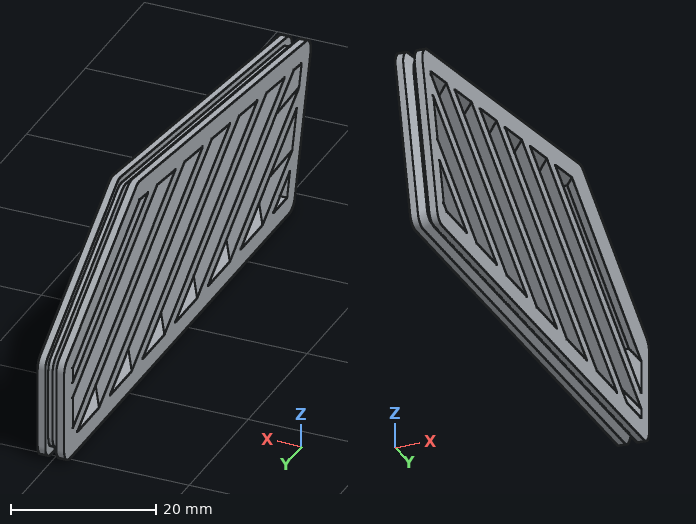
import cadquery as cq
import math

thickness = 4.0
front_flange = 1.2
back_flange = 1.2
groove_depth = 1.0
corner_radius = 2.0

bottom_length = 77.8
nose_reach = 84.2
nose_height = 24.1
apex_offset = 24.9
apex_height = 31.7
end_wall_height = 15.4
outline = [
    (0, 0),
    (0, end_wall_height),
    (-apex_offset, apex_height),
    (-nose_reach, nose_height),
    (-bottom_length, 0),
]

frame_width = 2.9
blade_pitch = 6.07
blade_width = 2.0
blade_drop = 4.1
first_blade_distance = 1.8
blade_count = 9
blades_above = 1


def inset_outline(inset):
    """Move every outline edge inward and return the new sharp corners."""
    corners = []
    for i, (y, z) in enumerate(outline):
        y_before, z_before = outline[i - 1]
        y_after, z_after = outline[(i + 1) % len(outline)]
        length_in = math.hypot(y - y_before, z - z_before)
        length_out = math.hypot(y_after - y, z_after - z)
        in_y, in_z = (y - y_before) / length_in, (z - z_before) / length_in
        out_y, out_z = (y_after - y) / length_out, (z_after - z) / length_out
        reach = inset / (in_y * out_z - in_z * out_y)
        corners.append((y + reach * (out_y - in_y), z + reach * (out_z - in_z)))
    return corners


def plate(inset, x_start, x_end):
    """Sharp-cornered plate between two X positions."""
    return (
        cq.Workplane("YZ", origin=(x_start, 0, 0))
        .polyline(inset_outline(inset))
        .close()
        .extrude(x_end - x_start)
    )


def rounded_plate(inset, x_start, x_end):
    return plate(inset, x_start, x_end).edges("|X").fillet(corner_radius)


def sloped_groove_wall():
    """Transition from the front flange down to the groove floor."""
    x_end = front_flange + groove_depth
    wide = rounded_plate(0, 0, front_flange).faces(">X").wires().val()
    narrow = rounded_plate(groove_depth, front_flange, x_end).faces(">X").wires().val()
    return cq.Workplane(cq.Solid.makeLoft([wide, narrow], True))


def grooved_body():
    back_start = thickness - back_flange
    front = rounded_plate(0, 0, front_flange)
    floor = rounded_plate(groove_depth, front_flange + groove_depth, back_start)
    back = rounded_plate(0, back_start, thickness)
    return front.union(sloped_groove_wall()).union(floor).union(back)


def louver_blades():
    """Slanted blades parallel to the sloping end edge, trimmed to the window."""
    edge_angle = math.atan2(apex_height - end_wall_height, apex_offset)
    edge_y, edge_z = inset_outline(frame_width)[1]
    slope_plane = cq.Plane(
        origin=(0, edge_y, edge_z),
        xDir=(1, 0, 0),
        normal=(0, -math.cos(edge_angle), math.sin(edge_angle)),
    )
    blades = cq.Workplane(slope_plane)
    for i in range(-blades_above, blade_count - blades_above):
        top = -first_blade_distance - i * blade_pitch
        blades = blades.polyline([
            (0, top),
            (thickness, top - blade_drop),
            (thickness, top - blade_drop - blade_width),
            (0, top - blade_width),
        ]).close()
    blades = blades.extrude(nose_reach, both=True)
    return blades.intersect(plate(frame_width, 0, thickness))


frame = grooved_body().cut(plate(frame_width, 0, thickness))
result = frame.union(louver_blades())